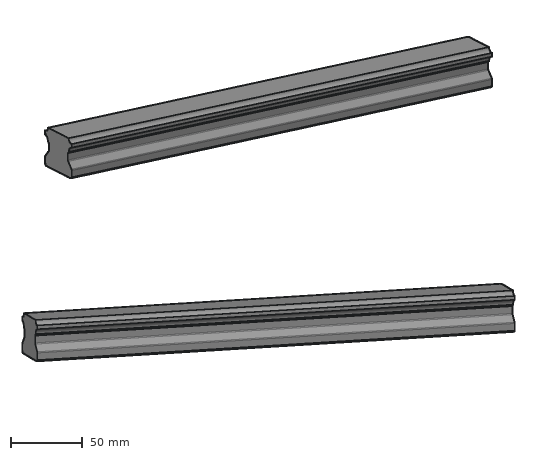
import cadquery as cq
import math

rail_width = 34.0
rail_length = 350.0
rail_height = 29.0

top_face_width = 26.4
land_top = 25.8
land_bottom = 23.1
land_lip = 1.0
lower_lip_drop = 0.5
groove_radius = 3.6
lower_groove_end_x = 13.5
lower_groove_end_z = 19.0

waist_width = 24.2
waist_top = 17.6
waist_bottom = 12.2
foot_top = 6.9
foot_chamfer = 1.2
slope_fillet = 1.2


def groove_middle(start, end, radius):
    """Middle point of a concave groove arc; walking from start to end, it bulges to the right."""
    dx = end[0] - start[0]
    dz = end[1] - start[1]
    chord = math.hypot(dx, dz)
    bulge = radius - math.sqrt(radius**2 - (chord / 2) ** 2)
    mid_x = (start[0] + end[0]) / 2 + bulge * dz / chord
    mid_z = (start[1] + end[1]) / 2 - bulge * dx / chord
    return mid_x, mid_z


def make_half_rail():
    """The +X half of the rail, from the mid plane outward."""
    half_width = rail_width / 2
    half_waist = waist_width / 2
    lip_x = half_width - land_lip
    upper_groove_start = (lip_x, land_top)
    lower_groove_start = (lip_x, land_bottom - lower_lip_drop)
    top_corner = (top_face_width / 2, rail_height)
    lower_groove_end = (lower_groove_end_x, lower_groove_end_z)

    lower_middle = groove_middle(lower_groove_start, lower_groove_end, groove_radius)
    upper_middle = groove_middle(top_corner, upper_groove_start, groove_radius)
    profile = (
        cq.Workplane("XZ")
        .moveTo(0, 0)
        .lineTo(half_width - foot_chamfer, 0)
        .lineTo(half_width, foot_chamfer)
        .lineTo(half_width, foot_top)
        .lineTo(half_waist, waist_bottom)
        .lineTo(half_waist, waist_top)
        .lineTo(*lower_groove_end)
        .threePointArc(lower_middle, lower_groove_start)
        .lineTo(half_width, land_bottom)
        .lineTo(half_width, land_top)
        .lineTo(*upper_groove_start)
        .threePointArc(upper_middle, top_corner)
        .lineTo(0, rail_height)
        .close()
    )
    half = profile.extrude(-rail_length)

    for corner_x, corner_z in ((half_waist, waist_bottom), (half_width, foot_top)):
        corner = cq.NearestToPointSelector((corner_x, rail_length / 2, corner_z))
        half = half.edges(corner).fillet(slope_fillet)
    return half


half_rail = make_half_rail()
result = half_rail.union(half_rail.mirror("YZ")).clean()